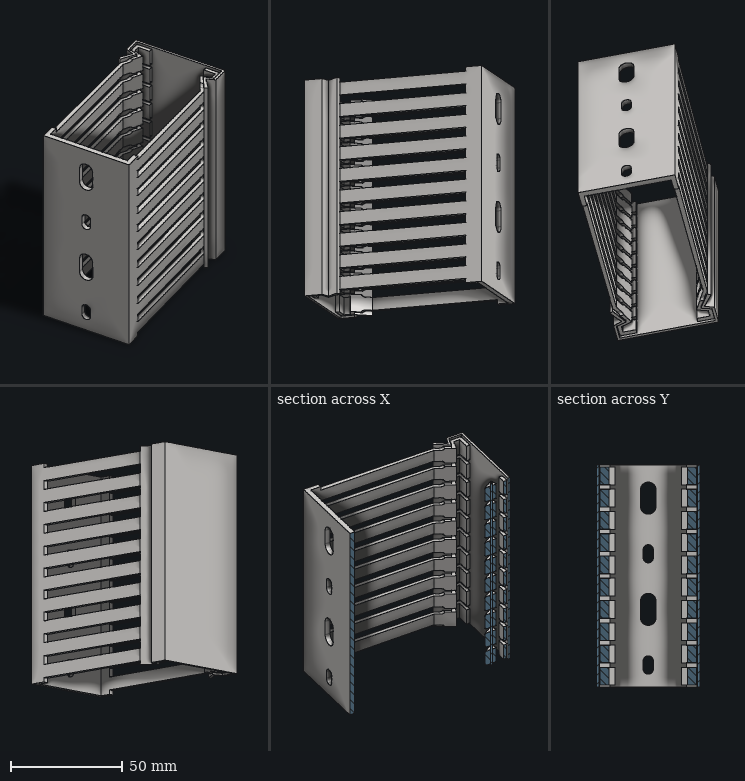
import cadquery as cq

LENGTH = 100.0
DEPTH = 84.3
COVER_WIDTH = 46.6
BACK_Y = DEPTH / 2
FRONT_Y = -DEPTH / 2

COVER_BACK_WALL = 1.3
COVER_SIDE_WALL = 1.3
COVER_HALF = COVER_WIDTH / 2
COVER_INNER_HALF = COVER_HALF - COVER_SIDE_WALL
COVER_SIDE_DROP = 8.5
COVER_NECK_HALF = 19.1
COVER_NECK_DROP = 10.1
FLARE_DROP = 15.5

SIDE_CLEARANCE = 0.2
BACK_CLEARANCE = 0.4
WALL = 1.8
FLOOR = 2.6
BASE_HALF = 22.4
HOOK_HALF = COVER_INNER_HALF - SIDE_CLEARANCE
BASE_INNER_HALF = HOOK_HALF - WALL
HOOK_TOP_Y = BACK_Y - COVER_BACK_WALL - BACK_CLEARANCE
LIP_END_HALF = 14.0
FOLD_DROP = 7.9
INNER_FOLD_DROP = 6.5
CREASE_HALF = 17.2
CREASE_DROP = 9.4
TIP_HALF = 14.9
TIP_DROP = 8.2
KNEE_DROP = 16.5
INNER_KNEE_DROP = 17.0

FINGER_COUNT = 10
FINGER_PITCH = LENGTH / FINGER_COUNT
FINGER_GAP = 4.0
HEAD_GAP = 2.0
FINGER_ROOT = 7.8
ROUND_CENTRE_DROP = 14.4

SLOT_PITCH = 50.0
LARGE_SLOT_LENGTH = 14.2
LARGE_SLOT_WIDTH = 6.8
LARGE_SLOT_Z = 35.0
SMALL_SLOT_LENGTH = 8.0
SMALL_SLOT_WIDTH = 4.4
SMALL_SLOT_Z = 10.0


def extrude_symmetric(right_half):
    """Extrude a profile running from the middle, up the +X side and back to the middle."""
    left_half = [(-x, y) for x, y in reversed(right_half)]
    profile = cq.Workplane("XY").workplane(offset=-LENGTH / 2)
    return profile.polyline(right_half + left_half).close().extrude(LENGTH)


def make_cover():
    return extrude_symmetric([
        (COVER_HALF, BACK_Y),
        (COVER_HALF, BACK_Y - COVER_SIDE_DROP),
        (COVER_NECK_HALF, BACK_Y - COVER_NECK_DROP),
        (COVER_HALF, BACK_Y - FLARE_DROP),
        (HOOK_HALF, BACK_Y - KNEE_DROP),
        (CREASE_HALF, BACK_Y - CREASE_DROP),
        (COVER_INNER_HALF, BACK_Y - FOLD_DROP),
        (COVER_INNER_HALF, BACK_Y - COVER_BACK_WALL),
    ])


def make_channel():
    return extrude_symmetric([
        (BASE_HALF, FRONT_Y),
        (HOOK_HALF, BACK_Y - KNEE_DROP),
        (CREASE_HALF, BACK_Y - CREASE_DROP),
        (HOOK_HALF, BACK_Y - FOLD_DROP),
        (HOOK_HALF, HOOK_TOP_Y),
        (LIP_END_HALF, HOOK_TOP_Y),
        (LIP_END_HALF, HOOK_TOP_Y - WALL),
        (BASE_INNER_HALF, HOOK_TOP_Y - WALL),
        (BASE_INNER_HALF, BACK_Y - INNER_FOLD_DROP),
        (TIP_HALF, BACK_Y - TIP_DROP),
        (BASE_INNER_HALF, BACK_Y - INNER_KNEE_DROP),
        (BASE_INNER_HALF, FRONT_Y + FLOOR),
    ])


def make_finger_gap():
    """One gap through both walls, centred on Z = 0."""
    root_y = FRONT_Y + FINGER_ROOT
    round_y = BACK_Y - ROUND_CENTRE_DROP
    plane = cq.Workplane("YZ")
    wide = plane.moveTo((root_y + round_y) / 2, 0).rect(round_y - root_y, FINGER_GAP)
    wide = wide.extrude(COVER_HALF, both=True)
    round_end = plane.moveTo(round_y, 0).circle(FINGER_GAP / 2).extrude(COVER_HALF, both=True)
    narrow = plane.moveTo((round_y + BACK_Y) / 2, 0).rect(BACK_Y - round_y, HEAD_GAP)
    narrow = narrow.extrude(COVER_HALF, both=True)
    return wide.union(round_end).union(narrow)


def cut_finger_gaps(body):
    """Open the walls between the fingers, with half a gap at each end of the channel."""
    gap = make_finger_gap()
    for index in range(FINGER_COUNT + 1):
        body = body.cut(gap.translate((0, 0, index * FINGER_PITCH - LENGTH / 2)))
    return body


def cut_mounting_slots(body, first_z, length, width):
    centres = [(0, first_z), (0, first_z - SLOT_PITCH)]
    plane = cq.Workplane("XZ", origin=(0, FRONT_Y + FLOOR, 0))
    return body.cut(plane.pushPoints(centres).slot2D(length, width, 90).extrude(FLOOR))


def make_base():
    body = cut_finger_gaps(make_channel())
    body = cut_mounting_slots(body, LARGE_SLOT_Z, LARGE_SLOT_LENGTH, LARGE_SLOT_WIDTH)
    return cut_mounting_slots(body, SMALL_SLOT_Z, SMALL_SLOT_LENGTH, SMALL_SLOT_WIDTH)


cover = make_cover()
base = make_base()

result = cq.Compound.makeCompound([cover.val(), base.val()])